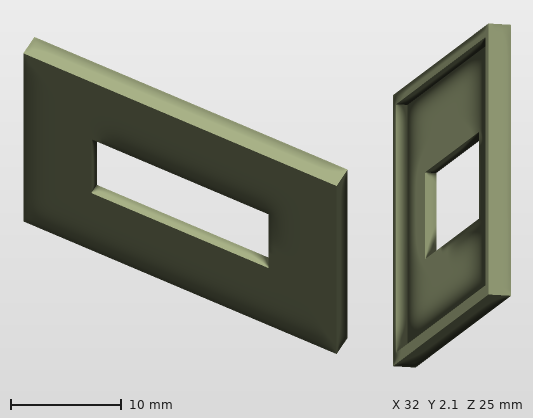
import cadquery as cq

plate_width = 32.0
plate_thickness = 2.1
plate_height = 25.0

window_width = 18.1
window_height = 8.0

web_thickness = 1.05
pocket_width = plate_width - 2 * web_thickness
pocket_height = plate_height - 2 * web_thickness
pocket_depth = plate_thickness - web_thickness

plate = cq.Workplane("XY").box(plate_width, plate_thickness, plate_height)
window = cq.Workplane("XY").box(window_width, plate_thickness, window_height)

pocket_center_y = (plate_thickness - pocket_depth) / 2
pocket = (
    cq.Workplane("XY")
    .box(pocket_width, pocket_depth, pocket_height)
    .translate((0, pocket_center_y, 0))
)

result = plate.cut(window).cut(pocket)